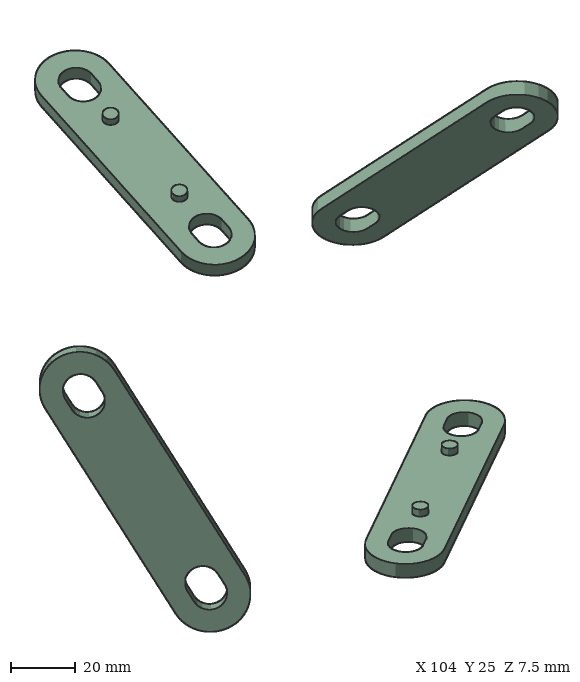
import cadquery as cq

length = 104.0
width = 25.0
thickness = 5.0

overall_height = 7.5
pin_height = overall_height - thickness
pin_base_diameter = 5.1
pin_draft = 1.0
pin_spacing = 39.0

slot_length = 15.0
slot_width = 11.0
slot_spacing = 74.0


def mirrored_pair(spacing):
    """Two points on the X axis, placed evenly about the centre."""
    return [(-spacing / 2, 0), (spacing / 2, 0)]


def make_plate():
    return cq.Workplane("XY").slot2D(length, width).extrude(thickness)


def make_slots():
    return (
        cq.Workplane("XY")
        .pushPoints(mirrored_pair(slot_spacing))
        .slot2D(slot_length, slot_width)
        .extrude(thickness)
    )


def make_pins():
    return (
        cq.Workplane("XY")
        .workplane(offset=thickness)
        .pushPoints(mirrored_pair(pin_spacing))
        .circle(pin_base_diameter / 2)
        .extrude(pin_height, taper=pin_draft)
    )


result = make_plate().cut(make_slots()).union(make_pins())